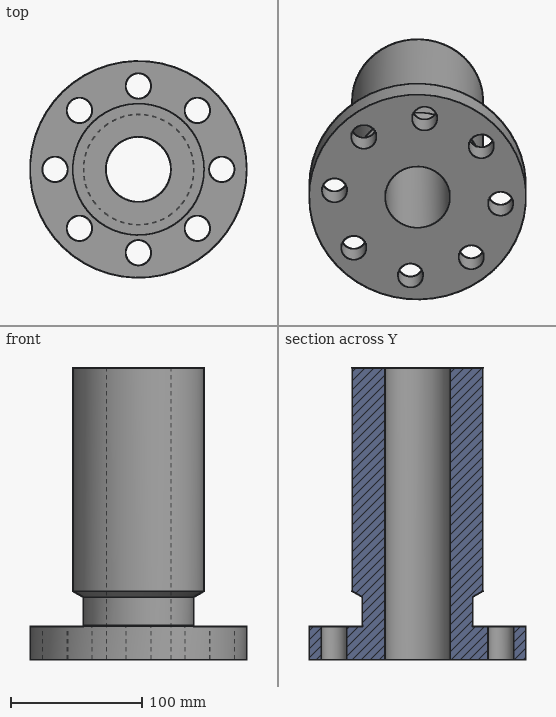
import cadquery as cq

flange_diameter = 165.1
flange_thickness = 25.5
bolt_circle_diameter = 127.0
bolt_hole_diameter = 19.1
bolt_hole_count = 8

total_height = 222.2
neck_diameter = 84.5
barrel_diameter = 100.0
barrel_cone_start = 47.8
barrel_cone_height = 4.5
bore_diameter = 49.3

undercut_depth = 0.5
undercut_height = 0.7


def revolved_body():
    """Flange, undercut, neck, cone and barrel as one profile turned about Z."""
    undercut_radius = neck_diameter / 2 - undercut_depth
    undercut_top = flange_thickness + undercut_height
    barrel_start = barrel_cone_start + barrel_cone_height
    return (
        cq.Workplane("XZ")
        .moveTo(bore_diameter / 2, 0)
        .lineTo(flange_diameter / 2, 0)
        .lineTo(flange_diameter / 2, flange_thickness)
        .lineTo(undercut_radius, flange_thickness)
        .lineTo(undercut_radius, undercut_top)
        .lineTo(neck_diameter / 2, undercut_top)
        .lineTo(neck_diameter / 2, barrel_cone_start)
        .lineTo(barrel_diameter / 2, barrel_start)
        .lineTo(barrel_diameter / 2, total_height)
        .lineTo(bore_diameter / 2, total_height)
        .close()
        .revolve(360, (0, 0, 0), (0, 1, 0))
    )


def bolt_holes():
    """Ring of through holes, the first one on the +X axis."""
    return (
        cq.Workplane("XY")
        .polarArray(bolt_circle_diameter / 2, 0, 360, bolt_hole_count)
        .circle(bolt_hole_diameter / 2)
        .extrude(flange_thickness)
    )


result = revolved_body().cut(bolt_holes())